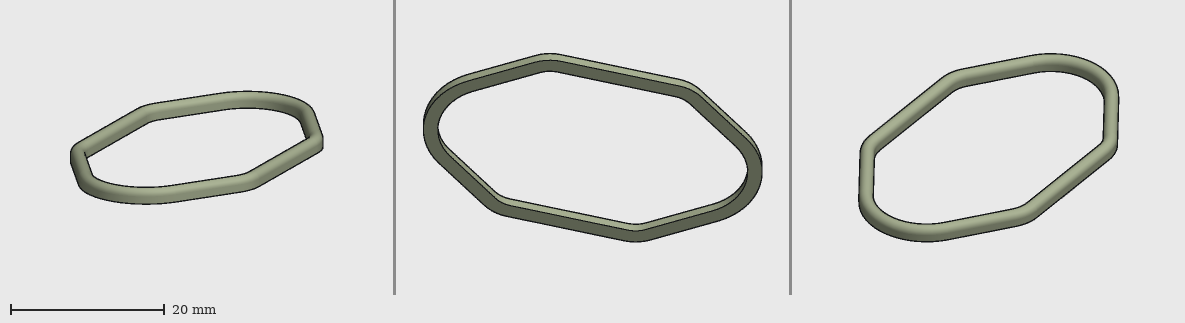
import cadquery as cq
import math

length = 45.05
width = 27.2
height = 2.0

band_width = 1.9
crown_radius = band_width / 2
wall_height = height - crown_radius

end_radius = 8.83
corner_radius = 5.67
half_straight = 7.93

end_center = (0.0, length / 2 - end_radius)
corner_center = (width / 2 - corner_radius, half_straight)

center_dx = corner_center[0] - end_center[0]
center_dy = end_center[1] - corner_center[1]
center_distance = math.hypot(center_dx, center_dy)
normal_angle = (
    math.acos((end_radius - corner_radius) / center_distance) - math.atan2(center_dy, center_dx)
)

end_path_radius = end_radius - crown_radius
corner_path_radius = corner_radius - crown_radius
half_path_width = width / 2 - crown_radius
half_path_length = length / 2 - crown_radius


def point_on_arc(center, radius, angle):
    return (center[0] + radius * math.cos(angle), center[1] + radius * math.sin(angle))


def mirrored(point, x_sign, y_sign):
    return (x_sign * point[0], y_sign * point[1])


def make_path():
    """Closed middle line of the band, counterclockwise from the middle of the +X side."""
    corner_start = (half_path_width, half_straight)
    corner_middle = point_on_arc(corner_center, corner_path_radius, normal_angle / 2)
    corner_end = point_on_arc(corner_center, corner_path_radius, normal_angle)
    end_start = point_on_arc(end_center, end_path_radius, normal_angle)

    path = cq.Workplane("XY").moveTo(half_path_width, 0)
    for side in (1, -1):
        path = (
            path.lineTo(*mirrored(corner_start, side, side))
            .threePointArc(mirrored(corner_middle, side, side), mirrored(corner_end, side, side))
            .lineTo(*mirrored(end_start, side, side))
            .threePointArc((0, side * half_path_length), mirrored(end_start, -side, side))
            .lineTo(*mirrored(corner_end, -side, side))
            .threePointArc(mirrored(corner_middle, -side, side), mirrored(corner_start, -side, side))
            .lineTo(-side * half_path_width, 0)
        )
    return path.wire()


def make_section():
    """Band cross-section, standing across the path at the middle of the +X side."""
    return (
        cq.Workplane("XZ", origin=(half_path_width, 0, 0))
        .moveTo(-crown_radius, 0)
        .lineTo(crown_radius, 0)
        .lineTo(crown_radius, wall_height)
        .threePointArc((0, height), (-crown_radius, wall_height))
        .close()
    )


result = make_section().sweep(make_path()).clean()